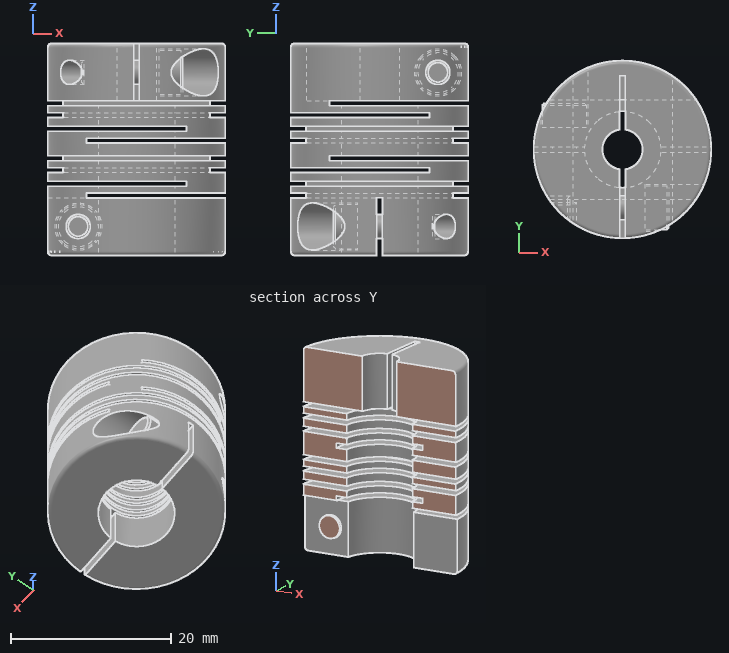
import cadquery as cq


height = 26.5
outer_radius = 11.1
rim_fillet = 0.5
upper_bore_radius = 2.5
lower_bore_radius = 4.77

cut_width = 0.58
cut_stop = 6.23
cut_spacing = 1.48
pair_spacing = 3.18
group_count = 2
group_spacing = 6.86
top_cut_level = (group_spacing + pair_spacing + cut_spacing) / 2
clamp_face = top_cut_level + cut_width / 2

slot_width = 0.72
slot_end = 9.17

screw_offset = 7.3
screw_level = 9.62
screw_radius = 1.5
screw_tip = -6.9
tip_chamfer = 0.3
head_radius = 2.75
head_seat = 2.78
head_top = 5.78
head_chamfer = 0.26
counterbore_radius = 2.95


def box_between(x_range, y_range, z_range):
    """Box spanning the given (low, high) range on each axis."""
    (x0, x1), (y0, y1), (z0, z1) = x_range, y_range, z_range
    return cq.Workplane("XY").box(x1 - x0, y1 - y0, z1 - z0, centered=False).translate((x0, y0, z0))


def cylinder_along_x(radius, start, end):
    """Cylinder on the axis of the upper clamp screw."""
    plane = cq.Plane(origin=(start, -screw_offset, screw_level), xDir=(0, 1, 0), normal=(1, 0, 0))
    return cq.Workplane(plane).circle(radius).extrude(end - start)


def flip_to_lower(shape):
    """Turn an upper clamp feature over onto the lower clamp, swapping X with Y."""
    return shape.rotate((0, 0, 0), (1, 1, 0), 180)


def make_body():
    """Rounded cylinder with a narrow bore in the upper clamp and a wide one below it."""
    body = cq.Workplane("XY").circle(outer_radius).extrude(height).translate((0, 0, -height / 2))
    body = body.faces("<Z or >Z").edges().fillet(rim_fillet)
    upper_bore = cq.Workplane("XY").circle(upper_bore_radius).extrude(height / 2)
    wide_length = height / 2 + clamp_face
    lower_bore = cq.Workplane("XY", origin=(0, 0, -height / 2)).circle(lower_bore_radius).extrude(wide_length)
    return body.cut(upper_bore).cut(lower_bore)


def flexure_cut(level, open_angle):
    """Flat cut that enters from the side at open_angle and ends past the axis."""
    length = outer_radius + cut_stop
    cut = cq.Workplane("XY").box(length, 2 * outer_radius, cut_width)
    cut = cut.translate(((outer_radius - cut_stop) / 2, 0, level))
    return cut.rotate((0, 0, 0), (0, 0, 1), open_angle)


def cut_flexures(body):
    """Each group has cuts open toward -Y, +Y, -X and +X, from the top down."""
    for group in range(group_count):
        group_level = top_cut_level - group * group_spacing
        for pair, pair_angles in enumerate([(-90, 90), (180, 0)]):
            for step, open_angle in enumerate(pair_angles):
                level = group_level - pair * pair_spacing - step * cut_spacing
                body = body.cut(flexure_cut(level, open_angle))
    return body


def cut_slots(body):
    """The upper slot is open toward -Y only; the lower slot runs right across along X."""
    across = (-slot_width / 2, slot_width / 2)
    upper = box_between(across, (-outer_radius, slot_end), (clamp_face, height / 2))
    lower = box_between((-outer_radius, outer_radius), across, (-height / 2, -clamp_face))
    return body.cut(upper).cut(lower)


def add_screws(body):
    """Counterbored cross hole and chamfered cap screw in each clamp."""
    hole = cylinder_along_x(screw_radius, -outer_radius, head_seat)
    counterbore = cylinder_along_x(counterbore_radius, head_seat, outer_radius)
    shank = cylinder_along_x(screw_radius, screw_tip, head_seat).faces("<X").chamfer(tip_chamfer)
    head = cylinder_along_x(head_radius, head_seat, head_top).faces(">X").chamfer(head_chamfer)
    pocket = hole.union(counterbore)
    screw = shank.union(head)
    body = body.cut(pocket).cut(flip_to_lower(pocket))
    return body.union(screw).union(flip_to_lower(screw))


result = add_screws(cut_slots(cut_flexures(make_body())))